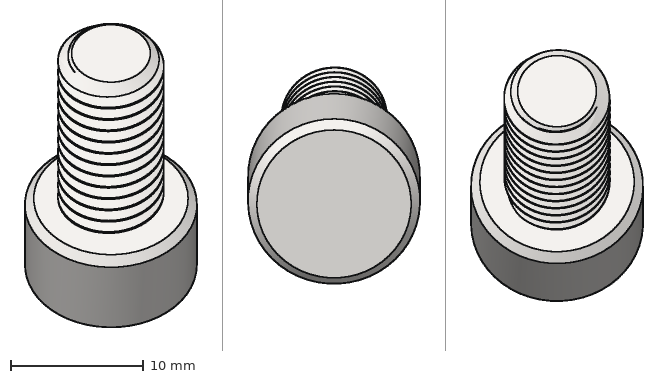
import cadquery as cq
import math

total_height = 24.0
head_diameter = 13.0
head_height = 8.0
head_chamfer = 0.67

major_radius = 4.0
pitch = 1.25
thread_depth = 0.77
flank_half_angle = 30.0
crest_drop = 1.63
tip_radius = 2.98
tip_chamfer_height = 0.8

overrun = 2 * pitch
cutter_clearance = 0.12

crest_width = pitch / 8
root_radius = major_radius - thread_depth
flank_slope = math.tan(math.radians(flank_half_angle))


def make_head():
    return (
        cq.Workplane("XY")
        .circle(head_diameter / 2)
        .extrude(head_height)
        .edges()
        .chamfer(head_chamfer)
    )


def make_groove():
    """Right-handed helical groove, running past both ends of the shank."""
    groove_top = total_height - crest_drop + pitch / 2 + overrun
    turns = math.ceil((groove_top - head_height + overrun) / pitch)
    start = groove_top - turns * pitch
    outer_radius = major_radius + cutter_clearance
    outer_half = (pitch - crest_width) / 2 + cutter_clearance * flank_slope
    root_half = outer_half - (outer_radius - root_radius) * flank_slope
    path = cq.Wire.makeHelix(pitch, turns * pitch, root_radius, cq.Vector(0, 0, start))
    return (
        cq.Workplane("XZ")
        .polyline([
            (root_radius, start - root_half),
            (outer_radius, start - outer_half),
            (outer_radius, start + outer_half),
            (root_radius, start + root_half),
        ])
        .close()
        .sweep(cq.Workplane(path), isFrenet=True)
    )


def make_shank():
    blank = (
        cq.Workplane("XY", origin=(0, 0, head_height - 2 * overrun))
        .circle(major_radius)
        .extrude(total_height - head_height + 4 * overrun)
    )
    envelope = (
        cq.Workplane("XZ")
        .moveTo(0, head_height)
        .lineTo(head_diameter / 2, head_height)
        .lineTo(head_diameter / 2, total_height - tip_chamfer_height)
        .lineTo(major_radius, total_height - tip_chamfer_height)
        .lineTo(tip_radius, total_height)
        .lineTo(0, total_height)
        .close()
        .revolve(360, (0, 0, 0), (0, 1, 0))
    )
    return blank.cut(make_groove()).intersect(envelope)


result = make_head().union(make_shank())